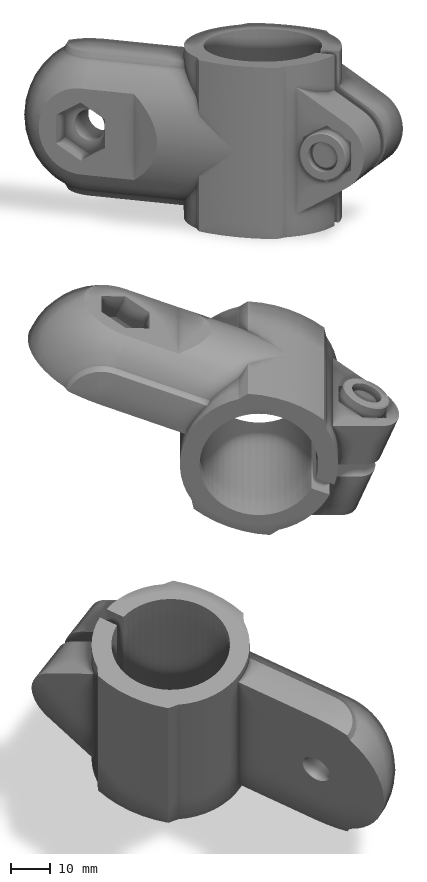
import cadquery as cq
import math

tube_radius = 20.0
tube_height = 45.0
bore_radius = 15.0
land_half_width = 10.4
land_edge_y = 18.35
land_step_x = 11.9
ring_gap = 3.2

arm_radius = 20.0
arm_end_x = -43.0
cap_edge_y = -9.15
cap_edge_z = 18.85
cap_foot_y = -10.0

flat_y = -16.5
flat_end_x = -28.6
ramp_end_x = -21.1
arm_hole_diameter = 8.1
arm_hex_across_flats = 13.2
arm_hex_depth = 6.5

lug_radius = 10.0
lug_x = 22.5
lug_half_thickness = 14.2
lug_gap = 3.8
lug_side_angle = 31.0
lug_root_x = 14.4

bolt_diameter = 8.0
bolt_tip_chamfer = 0.8
bolt_tip_y = -15.5
nut_diameter = 12.6
nut_face_y = -17.1
nut_chamfer = 0.3
nut_hex_across_flats = 13.0
nut_hex_depth = 2.0
nut_pocket_floor_y = -lug_half_thickness + nut_hex_depth


def cylinder_y(x, diameter, y_low, y_high):
    """Round bar along Y, centred at height zero."""
    plane = cq.Workplane("XZ", origin=(x, y_high, 0))
    return plane.circle(diameter / 2).extrude(y_high - y_low)


def hexagon_y(x, across_flats, y_low, y_high):
    """Hexagonal bar along Y with corners pointing up and down."""
    across_corners = across_flats / math.cos(math.radians(30))
    plane = cq.Workplane("XZ", origin=(x, y_high, 0))
    bar = plane.polygon(6, across_corners).extrude(y_high - y_low)
    return bar.rotate((x, 0, 0), (x, 1, 0), 90)


def gap_cutter(width):
    """Slab along +X from the tube axis to the tip of the lugs."""
    length = lug_x + lug_radius
    return cq.Workplane("XY").box(length, width, tube_height, centered=(False, True, True))


def make_tube():
    """Tube body before boring: round sides, with flatter lands joined by short flanks."""
    step_y = math.sqrt(tube_radius**2 - land_step_x**2)
    outline = (
        cq.Workplane("XY", origin=(0, 0, -tube_height / 2))
        .moveTo(land_step_x, -step_y)
        .threePointArc((tube_radius, 0), (land_step_x, step_y))
        .lineTo(land_half_width, land_edge_y)
        .threePointArc((0, tube_radius), (-land_half_width, land_edge_y))
        .lineTo(-land_step_x, step_y)
        .threePointArc((-tube_radius, 0), (-land_step_x, -step_y))
        .lineTo(-land_half_width, -land_edge_y)
        .threePointArc((0, -tube_radius), (land_half_width, -land_edge_y))
        .close()
    )
    return outline.extrude(tube_height).cut(gap_cutter(ring_gap))


def arm_section():
    """Half section of the arm in the YZ plane at the centre of its domed end."""
    foot_z = math.sqrt(arm_radius**2 - cap_foot_y**2)
    drop = arm_radius - cap_edge_z
    cap_radius = (cap_edge_y**2 + drop**2) / (2 * drop)
    mid_y = cap_edge_y / 2
    mid_z = arm_radius - cap_radius + math.sqrt(cap_radius**2 - mid_y**2)
    return (
        cq.Workplane("YZ", origin=(arm_end_x, 0, 0))
        .moveTo(0, -arm_radius)
        .threePointArc((mid_y, -mid_z), (cap_edge_y, -cap_edge_z))
        .lineTo(cap_foot_y, -foot_z)
        .threePointArc((-arm_radius, 0), (cap_foot_y, foot_z))
        .lineTo(cap_edge_y, cap_edge_z)
        .threePointArc((mid_y, mid_z), (0, arm_radius))
        .close()
    )


def arm_flat_cutter():
    """Block that cuts the arm's -Y side down to the flat and its end ramp."""
    outer_x = arm_end_x - arm_radius
    outline = [
        (outer_x, flat_y),
        (flat_end_x, flat_y),
        (ramp_end_x, -arm_radius),
        (outer_x, -arm_radius),
    ]
    return cq.Workplane("XY").polyline(outline).close().extrude(arm_radius, both=True)


def make_arm():
    """Bar and quarter-turn dome with the flat, the hexagon socket and the bolt hole."""
    bar = arm_section().extrude(-arm_end_x)
    dome = arm_section().revolve(90, (0, 0, 0), (0, -1, 0))
    bolt_hole = cylinder_y(arm_end_x, arm_hole_diameter, -arm_radius, 0)
    hex_socket = hexagon_y(arm_end_x, arm_hex_across_flats, flat_y, flat_y + arm_hex_depth)
    return bar.union(dome).cut(arm_flat_cutter()).cut(bolt_hole).cut(hex_socket)


def make_lugs():
    """Pair of rounded triangular lugs with the nut's hexagonal pocket in the -Y one."""
    angle = math.radians(lug_side_angle)
    tangent_x = lug_x + lug_radius * math.sin(angle)
    tangent_z = lug_radius * math.cos(angle)
    root_z = tangent_z + (tangent_x - lug_root_x) * math.tan(angle)
    block = (
        cq.Workplane("XZ", origin=(0, lug_half_thickness, 0))
        .moveTo(lug_root_x, -root_z)
        .lineTo(tangent_x, -tangent_z)
        .threePointArc((lug_x + lug_radius, 0), (tangent_x, tangent_z))
        .lineTo(lug_root_x, root_z)
        .close()
        .extrude(2 * lug_half_thickness)
    )
    nut_pocket = hexagon_y(lug_x, nut_hex_across_flats, -lug_half_thickness, nut_pocket_floor_y)
    return block.cut(gap_cutter(lug_gap)).cut(nut_pocket)


def make_bolt():
    """Shank from the +Y lug across the gap to a chamfered tip inside the nut."""
    shank = cylinder_y(lug_x, bolt_diameter, bolt_tip_y, lug_half_thickness)
    return shank.faces("<Y").chamfer(bolt_tip_chamfer)


def make_nut():
    """Round nut collar, seated in the hexagonal pocket and standing proud of the lug."""
    collar = cylinder_y(lug_x, nut_diameter, nut_face_y, nut_pocket_floor_y)
    collar = collar.faces("<Y").chamfer(nut_chamfer)
    return collar.cut(cylinder_y(lug_x, bolt_diameter, nut_face_y, nut_pocket_floor_y))


bore = cq.Workplane("XY").circle(bore_radius).extrude(tube_height / 2, both=True)
clamp = make_tube().union(make_lugs()).union(make_arm()).cut(bore)
result = clamp.union(make_bolt()).union(make_nut())